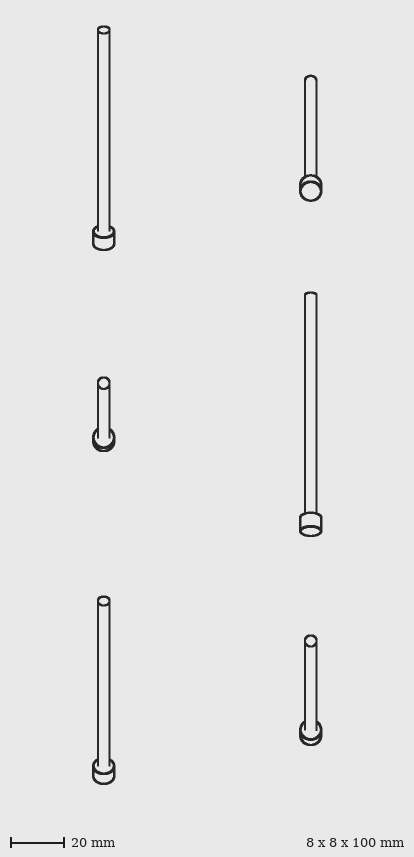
import cadquery as cq

total_length = 100.0
head_diameter = 8.0
head_height = 6.0
shank_diameter = 4.5
neck_fillet = 0.3
rim_chamfer = 0.2

head = cq.Workplane("XY").circle(head_diameter / 2).extrude(head_height)
head = head.faces("<Z or >Z").edges().chamfer(rim_chamfer)

shank = cq.Workplane("XY").circle(shank_diameter / 2).extrude(total_length)
pin = head.union(shank)

head_top = pin.faces("|Z").faces(">Z[-2]")
neck_edge = head_top.edges(cq.selectors.RadiusNthSelector(0))
result = neck_edge.fillet(neck_fillet)